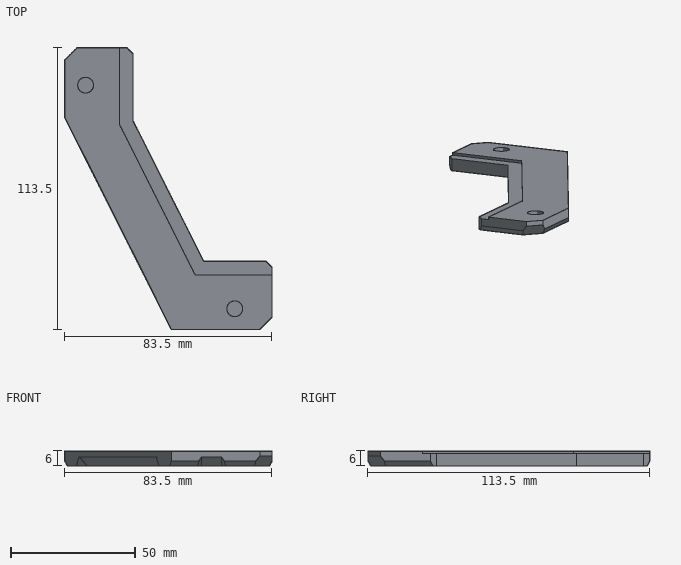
import cadquery as cq
import math

WIDTH = 83.5
LENGTH = 113.5
THICKNESS = 6.0

ARM_WIDTH = 27.6
OUTER_CORNER = 5.0
INNER_CORNER = 2.5
WEB_START_Y = 85.4
WEB_END_X = 42.9
INNER_START_Y = 84.0
INNER_END_X = 56.0

LEDGE_WIDTH = 5.6
LEDGE_DROP = 1.0

SLOPE_ANGLE = 29.0
EDGE_BEVEL_HEIGHT = 2.0
CORNER_BEVEL_HEIGHT = 4.1

RELIEF_HEIGHT = 3.6
RELIEF_BACK_ANGLE = 45.0
RELIEF_FLARE_ANGLE = 30.0
RELIEF_WIDENING = 2.3
RELIEF_DEPTH = 0.2
LOWER_RELIEF_CENTER_X = 59.1
LOWER_RELIEF_ROOF = 8.2
WEB_RELIEF_START_Y = 74.0
WEB_RELIEF_END_Y = 11.9

HOLE_DIAMETER = 6.4
HOLE_DEPTH = 2.0
HOLE_END_OFFSET = 15.1
HOLE_SIDE_OFFSET = 8.4

OVERRUN = 5.7

web_left = (0, WEB_START_Y)
web_bottom = (WEB_END_X, 0)
web_length = math.dist(web_left, web_bottom)


def plate():
    return (
        cq.Workplane("XY")
        .polyline([
            web_bottom,
            (WIDTH - OUTER_CORNER, 0),
            (WIDTH, OUTER_CORNER),
            (WIDTH, ARM_WIDTH - INNER_CORNER),
            (WIDTH - INNER_CORNER, ARM_WIDTH),
            (INNER_END_X, ARM_WIDTH),
            (ARM_WIDTH, INNER_START_Y),
            (ARM_WIDTH, LENGTH - INNER_CORNER),
            (ARM_WIDTH - INNER_CORNER, LENGTH),
            (OUTER_CORNER, LENGTH),
            (0, LENGTH - OUTER_CORNER),
            web_left,
        ])
        .close()
        .extrude(THICKNESS)
    )


def ledge_cut():
    """Strip above the ledge, bounded by the inner edge moved inward."""
    run = INNER_END_X - ARM_WIDTH
    rise = INNER_START_Y - ARM_WIDTH
    edge_length = math.hypot(run, rise)
    step = ARM_WIDTH - LEDGE_WIDTH
    upper_y = INNER_START_Y + LEDGE_WIDTH * (rise - edge_length) / run
    lower_x = INNER_END_X + LEDGE_WIDTH * (run - edge_length) / rise
    return (
        cq.Workplane("XY", origin=(0, 0, THICKNESS - LEDGE_DROP))
        .polyline([
            (step, LENGTH + OVERRUN),
            (step, upper_y),
            (lower_x, step),
            (WIDTH + OVERRUN, step),
            (WIDTH + OVERRUN, LENGTH + OVERRUN),
        ])
        .close()
        .extrude(LEDGE_DROP)
    )


def bevel_cut(start, end, height):
    """Wedge under an edge; the part lies to the left going from start to end."""
    dx = end[0] - start[0]
    dy = end[1] - start[1]
    inset = height * math.tan(math.radians(SLOPE_ANGLE))
    plane = cq.Plane(origin=(*start, 0), xDir=(-dy, dx, 0), normal=(dx, dy, 0))
    return (
        cq.Workplane(plane)
        .polyline([(0, height), (inset, 0), (0, 0)])
        .close()
        .extrude(math.hypot(dx, dy) + 2 * OVERRUN)
        .translate(plane.zDir * -OVERRUN)
    )


def relief_cut(start, end, roof_start, roof_length):
    """Underside notch along an outer edge, with a sloped back and flared ends.

    The roof starts roof_start along the edge; the part lies to the left.
    """
    dx = end[0] - start[0]
    dy = end[1] - start[1]
    plane = cq.Plane(origin=(*start, 0), xDir=(dx, dy, 0), normal=(0, 0, 1))
    back_shift = RELIEF_HEIGHT * math.tan(math.radians(RELIEF_BACK_ANGLE))
    flare = math.tan(math.radians(RELIEF_FLARE_ANGLE))

    def section(depth, widening):
        left = roof_start - widening
        right = roof_start + roof_length + widening
        return [
            (left - OVERRUN * flare, -OVERRUN),
            (right + OVERRUN * flare, -OVERRUN),
            (right - depth * flare, depth),
            (left + depth * flare, depth),
        ]

    return (
        cq.Workplane(plane)
        .polyline(section(RELIEF_DEPTH + back_shift, RELIEF_WIDENING))
        .close()
        .workplane(offset=RELIEF_HEIGHT)
        .polyline(section(RELIEF_DEPTH, 0))
        .close()
        .loft(ruled=True)
    )


def hole_cut():
    return (
        cq.Workplane("XY", origin=(0, 0, THICKNESS - HOLE_DEPTH))
        .pushPoints([
            (HOLE_SIDE_OFFSET, LENGTH - HOLE_END_OFFSET),
            (WIDTH - HOLE_END_OFFSET, HOLE_SIDE_OFFSET),
        ])
        .circle(HOLE_DIAMETER / 2)
        .extrude(HOLE_DEPTH)
    )


result = plate().cut(ledge_cut()).cut(hole_cut())

bevels = [
    (web_bottom, (WIDTH, 0), EDGE_BEVEL_HEIGHT),
    ((WIDTH, 0), (WIDTH, ARM_WIDTH), EDGE_BEVEL_HEIGHT),
    ((ARM_WIDTH, LENGTH), (0, LENGTH), EDGE_BEVEL_HEIGHT),
    ((0, LENGTH), web_left, EDGE_BEVEL_HEIGHT),
    ((WIDTH - OUTER_CORNER, 0), (WIDTH, OUTER_CORNER), CORNER_BEVEL_HEIGHT),
    ((OUTER_CORNER, LENGTH), (0, LENGTH - OUTER_CORNER), CORNER_BEVEL_HEIGHT),
]
for start, end, height in bevels:
    result = result.cut(bevel_cut(start, end, height))

web_relief_start = web_length * (1 - WEB_RELIEF_START_Y / WEB_START_Y)
web_relief_roof = web_length * (WEB_RELIEF_START_Y - WEB_RELIEF_END_Y) / WEB_START_Y
lower_relief_start = LOWER_RELIEF_CENTER_X - LOWER_RELIEF_ROOF / 2 - WEB_END_X
result = result.cut(relief_cut(web_left, web_bottom, web_relief_start, web_relief_roof))
result = result.cut(relief_cut(web_bottom, (WIDTH, 0), lower_relief_start, LOWER_RELIEF_ROOF))